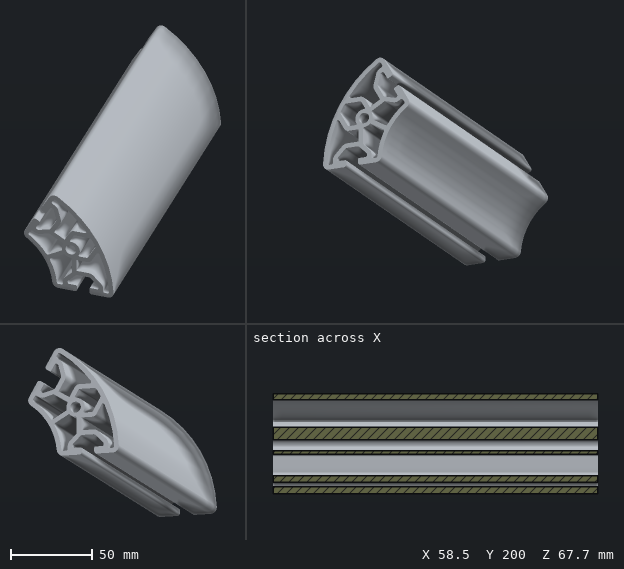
import math

import cadquery as cq

length = 200.0
inner_radius = 40.0
outer_radius = 80.0
sector_angle = 60.0
corner_radius = 4.0
wall = 3.0

slot_middle = (inner_radius + outer_radius) / 2
slot_opening = 8.0
lip_height = 4.5
lip_radius = 1.6
lip_inner_radius = 0.8
slot_depth = 12.25
slot_width = 20.2
slot_floor_half_width = 4.35
slot_floor_radius = 2.0
slot_side_radius = 1.1
slot_shoulder_radius = 0.7

slope_wall = 2.9
shell_shoulder_radius = 4.5

core_hole_diameter = 6.8
core_radius = 5.9
axis_web = 2.85
stem_left = 52.65
stem_right = stem_left + wall
web_bottom = 23.25
web_top = web_bottom + wall
far_web_bottom = 41.25
far_web_top = far_web_bottom + wall

chamber_radius = 1.0
middle_chamber_radius = 2.0
boss_end_radius = 0.5
web_bend_radius = 3.5

full_angle = math.radians(sector_angle)
half_angle = full_angle / 2
outer_wall_radius = outer_radius - wall
inner_wall_radius = inner_radius + wall
core_x = slot_middle * math.cos(half_angle)
core_z = slot_middle * math.sin(half_angle)

slot_slope_sum = slot_floor_half_width + slot_depth
shell_slope_sum = slot_slope_sum + slope_wall * math.sqrt(2)
shell_top = slot_depth + wall
shell_half_width = slot_width / 2 + wall
shell_shoulder = shell_slope_sum - shell_half_width
shell_top_half_width = shell_slope_sum - shell_top


def prism(points):
    """Straight-sided bar of the given XZ outline over the full length."""
    return cq.Workplane("XZ").polyline(points).close().extrude(-length)


def cylinder(radius, x=0.0, z=0.0):
    """Round bar along Y over the full length."""
    return cq.Workplane("XZ").center(x, z).circle(radius).extrude(-length)


def round_corners(bar, corners, radius):
    """Round the lengthwise edges of a bar at the given XZ corners."""
    for x, z in corners:
        bar = bar.edges(cq.selectors.NearestToPointSelector((x, length / 2, z))).fillet(radius)
    return bar


def mirrored(item):
    """Copy across the symmetry plane of the sector."""
    return item.mirror("XY").rotate((0, 0, 0), (0, 1, 0), -sector_angle)


def mirrored_point(x, z):
    """Reflect an XZ point across the symmetry plane of the sector."""
    cos_full = math.cos(full_angle)
    sin_full = math.sin(full_angle)
    return (x * cos_full + z * sin_full, x * sin_full - z * cos_full)


def from_axis(along, offset):
    """XZ point given along the symmetry plane and square to it (positive upward)."""
    return (
        along * math.cos(half_angle) - offset * math.sin(half_angle),
        along * math.sin(half_angle) + offset * math.cos(half_angle),
    )


def on_arc(radius, z):
    """XZ point of a circle about the Y axis at height z."""
    return (math.sqrt(radius**2 - z**2), z)


def mirrored_web_meets(z, web_z):
    """XZ point at height z on the mirror image of the level line at web_z."""
    return ((web_z + z * math.cos(full_angle)) / math.sin(full_angle), z)


def sector_body():
    """Solid ring sector with its four corners rounded."""
    reach = 2 * outer_radius
    wedge = prism([(0, 0), (reach, 0), mirrored_point(reach, 0)])
    body = wedge.intersect(cylinder(outer_radius)).cut(cylinder(inner_radius))
    return body.edges("|Y").fillet(corner_radius)


def t_slot():
    """T-slot of the lower end face: undercut cavity plus the opening between the lips."""
    half_width = slot_width / 2
    half_opening = slot_opening / 2
    shoulder = slot_slope_sum - half_width
    right_side = [(half_width, lip_height), (half_width, shoulder), (slot_floor_half_width, slot_depth)]
    right = [(slot_middle + x, z) for x, z in right_side]
    left = [(slot_middle - x, z) for x, z in reversed(right_side)]
    cavity = prism(right + left)
    cavity = round_corners(cavity, [right[2], left[0]], slot_floor_radius)
    cavity = round_corners(cavity, [right[0], left[2]], slot_side_radius)
    cavity = round_corners(cavity, [right[1], left[1]], slot_shoulder_radius)
    opening = prism([
        (slot_middle - half_opening, 0),
        (slot_middle + half_opening, 0),
        (slot_middle + half_opening, lip_height),
        (slot_middle - half_opening, lip_height),
    ])
    return cavity.union(opening)


def core_boss():
    """Solid round boss that surrounds the core hole."""
    return cylinder(core_radius, core_x, core_z)


def outer_chamber():
    """Chamber between the lower T-slot, the core webs and the outer wall."""
    side = slot_middle + shell_half_width
    reach = outer_radius
    shoulder = (side, shell_shoulder)
    slope_top = (slot_middle + shell_top_half_width, shell_top)
    bend = mirrored_web_meets(web_bottom, far_web_top)
    apex = mirrored_point(*on_arc(outer_wall_radius, far_web_top))
    chamber = prism([
        (side, wall),
        shoulder,
        slope_top,
        (stem_right, shell_top),
        (stem_right, web_bottom),
        bend,
        mirrored_point(reach, far_web_top),
        (reach, wall),
    ]).intersect(cylinder(outer_wall_radius))
    chamber = round_corners(chamber, [shoulder], shell_shoulder_radius)
    chamber = round_corners(chamber, [slope_top], slot_floor_radius + wall)
    chamber = round_corners(chamber, [bend], web_bend_radius)
    lower_corners = [(side, wall), on_arc(outer_wall_radius, wall)]
    return round_corners(chamber, lower_corners + [apex], chamber_radius)


def inner_chamber():
    """Chamber between the lower T-slot, the core and the inner wall."""
    side = slot_middle - shell_half_width
    reach = inner_radius
    shoulder = (side, shell_shoulder)
    slope_top = (stem_left, shell_slope_sum - (slot_middle - stem_left))
    half_web = axis_web / 2
    core_side = from_axis(slot_middle, -half_web)
    stem_top = (stem_left, core_z - math.sqrt(core_radius**2 - (core_x - stem_left) ** 2))
    web_end = from_axis(math.sqrt(inner_wall_radius**2 - half_web**2), -half_web)
    chamber = prism([
        (reach, wall),
        (side, wall),
        shoulder,
        slope_top,
        (stem_left, core_z),
        core_side,
        from_axis(reach, -half_web),
    ]).cut(cylinder(inner_wall_radius)).cut(core_boss())
    chamber = round_corners(chamber, [shoulder], shell_shoulder_radius)
    corners = [(side, wall), on_arc(inner_wall_radius, wall), web_end, stem_top]
    return round_corners(chamber, corners, chamber_radius)


def middle_chamber():
    """Chamber on the symmetry plane between the core and the outer wall."""
    reach = outer_radius
    near = (core_x, web_top)
    boss_end = (core_x + math.sqrt(core_radius**2 - (core_z - web_top) ** 2), web_top)
    bend = mirrored_web_meets(web_top, far_web_bottom)
    arc_end = on_arc(outer_wall_radius, far_web_bottom)
    chamber = prism([
        (core_x, core_z),
        near,
        bend,
        mirrored_point(reach, far_web_bottom),
        (reach, far_web_bottom),
        mirrored_point(*bend),
        mirrored_point(*near),
    ]).intersect(cylinder(outer_wall_radius)).cut(core_boss())
    chamber = round_corners(chamber, [bend, mirrored_point(*bend)], chamber_radius)
    chamber = round_corners(chamber, [boss_end, mirrored_point(*boss_end)], boss_end_radius)
    return round_corners(chamber, [arc_end, mirrored_point(*arc_end)], middle_chamber_radius)


def round_lips(body):
    """Round the outer and inner edges of the slot lips in both end faces."""
    for height, radius in ((0, lip_radius), (lip_height, lip_inner_radius)):
        lips = [(slot_middle + side * slot_opening / 2, height) for side in (-1, 1)]
        body = round_corners(body, lips + [mirrored_point(*lip) for lip in lips], radius)
    return body


result = sector_body()
for cutter in (t_slot(), outer_chamber(), inner_chamber()):
    result = result.cut(cutter).cut(mirrored(cutter))
result = result.cut(middle_chamber()).cut(cylinder(core_hole_diameter / 2, core_x, core_z))
result = round_lips(result)